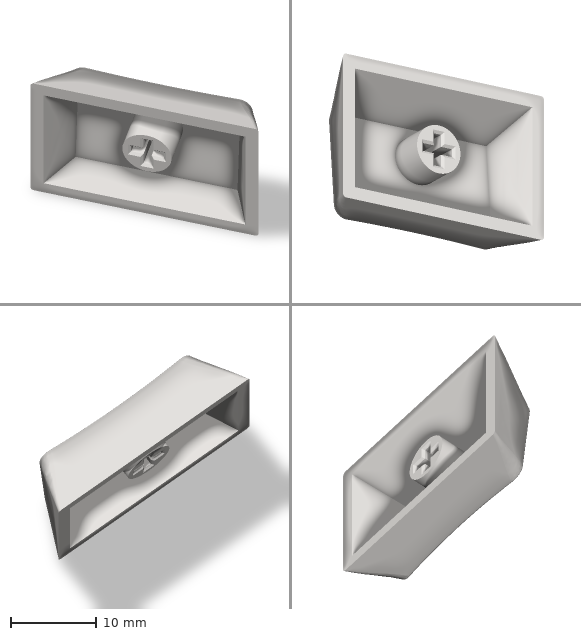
import cadquery as cq
import math


rim_width = 27.8
rim_height = 18.0
rim_corner_radius = 0.42

face_width = 21.97
face_height = 14.02
face_corner_radius = 1.72
face_depth_bottom = 6.6
face_slope = 0.1
face_depth_top = face_depth_bottom + face_slope * face_height
dish_depth = 0.55
face_edge_radius = 0.22
body_sections = 7

side_wall = 1.6
bottom_wall = 1.53
opening_height = 14.82
floor_width = 19.75
floor_height = 11.45
floor_depth_bottom = 5.17
floor_depth_top = floor_depth_bottom + face_slope * floor_height

stem_diameter = 6.0
stem_start = 1.05
stem_centre_z = rim_height / 2
socket_length = 4.67
socket_arm = 1.65
socket_inset = 0.33
socket_chamfer_depth = 0.28


def leaning_plane(depth_bottom, depth_top, z_bottom, z_top):
    """Plane across the cap; local x is X and local y climbs towards the top edge."""
    rise = z_top - z_bottom
    lean = depth_top - depth_bottom
    middle = (0, (depth_bottom + depth_top) / 2, (z_bottom + z_top) / 2)
    return cq.Plane(origin=middle, xDir=(1, 0, 0), normal=(0, -rise, lean))


def leaning_rectangle(width, depth_bottom, depth_top, z_bottom, z_top):
    """Sharp-cornered wire, centred on X, between two depths and heights."""
    plane = leaning_plane(depth_bottom, depth_top, z_bottom, z_top)
    length = math.hypot(depth_top - depth_bottom, z_top - z_bottom)
    return cq.Workplane(plane).rect(width, length).val()


def blend(start, end, fraction):
    return start + (end - start) * fraction


def loft_wires(wires, ruled):
    return cq.Workplane(obj=cq.Solid.makeLoft(wires, ruled))


def make_body():
    """Tapered block whose corner radius eases from the rim value to the face value."""
    wires = []
    for index in range(body_sections):
        fraction = index / (body_sections - 1)
        eased = fraction**2 * (3 - 2 * fraction)
        section = leaning_rectangle(
            blend(rim_width, face_width, fraction),
            face_depth_bottom * fraction,
            face_depth_top * fraction,
            0,
            blend(rim_height, face_height, fraction),
        )
        radius = blend(rim_corner_radius, face_corner_radius, eased)
        wires.append(section.fillet2D(radius, section.Vertices()))
    return loft_wires(wires, False)


def make_dish():
    """Large cylinder running up the face, touching its two side edges."""
    radius = (face_width**2 / 4 + dish_depth**2) / (2 * dish_depth)
    plane = leaning_plane(face_depth_bottom, face_depth_top, 0, face_height)
    axis_distance = radius - dish_depth
    across = cq.Plane(
        origin=plane.toWorldCoords((0, 0, -axis_distance)).toTuple(),
        xDir=(1, 0, 0),
        normal=plane.yDir.toTuple(),
    )
    return cq.Workplane(across).circle(radius).extrude(rim_height, both=True)


def make_cavity():
    """Tapered pocket with a square bottom wall and a floor parallel to the face."""
    opening = leaning_rectangle(
        rim_width - 2 * side_wall, 0, 0, bottom_wall, bottom_wall + opening_height
    )
    floor = leaning_rectangle(
        floor_width, floor_depth_bottom, floor_depth_top, bottom_wall, bottom_wall + floor_height
    )
    return loft_wires([opening, floor], True)


def make_cross(inset, depth):
    """Wire of a plus shape facing the rim, pulled in by inset on every side."""
    tip = socket_length / 2 - inset
    side = socket_arm / 2 - inset
    points = [
        (tip, -side), (tip, side), (side, side), (side, tip), (-side, tip), (-side, side),
        (-tip, side), (-tip, -side), (-side, -side), (-side, -tip), (side, -tip), (side, -side),
    ]
    corners = [cq.Vector(x, depth, stem_centre_z + z) for x, z in points]
    return cq.Wire.makePolygon(corners, close=True)


def make_stem():
    """Hollow post; it runs into the floor slab, which closes the socket."""
    plane = cq.Plane(origin=(0, stem_start, stem_centre_z), xDir=(1, 0, 0), normal=(0, 1, 0))
    post = cq.Workplane(plane).circle(stem_diameter / 2).extrude(floor_depth_top - stem_start)
    mouth = make_cross(0, stem_start)
    throat = make_cross(socket_inset, stem_start + socket_chamfer_depth)
    end = make_cross(socket_inset, floor_depth_top)
    return post.cut(loft_wires([mouth, throat], True)).cut(loft_wires([throat, end], True))


body = make_body().cut(make_dish())
body = body.faces(">Y").edges().fillet(face_edge_radius)
shell = body.cut(make_cavity())
result = shell.union(make_stem())